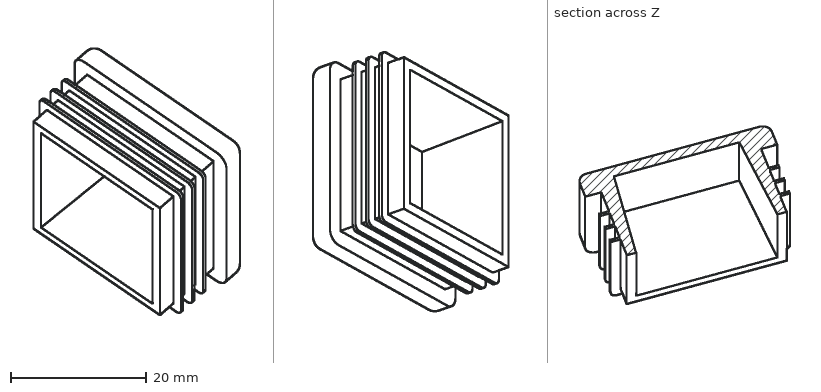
import cadquery as cq

cap_side = 30.0
cap_thickness = 4.0
cap_corner_radius = 2.0
cap_edge_radius = 1.5

total_depth = 16.0
stem_side = 25.0
stem_length = total_depth - cap_thickness

fin_side = 28.0
fin_thickness = 0.5
fin_corner_radius = 1.0
fin_count = 3
fin_pitch = 2.5
first_fin_start = 3.0

mouth_side = 22.0
floor_side = 19.5
cavity_depth = 14.15


def square_slab(side, start, thickness):
    """Square block centred on the Y axis, from Y = start toward +Y."""
    return cq.Workplane("XZ", origin=(0, start, 0)).rect(side, side).extrude(-thickness)


def make_cap():
    cap = square_slab(cap_side, stem_length, cap_thickness)
    cap = cap.edges("|Y").fillet(cap_corner_radius)
    return cap.faces(">Y").edges().fillet(cap_edge_radius)


def make_fin(start):
    return square_slab(fin_side, start, fin_thickness).edges("|Y").fillet(fin_corner_radius)


def make_cavity():
    """Tapered square pocket, narrowing from the mouth to the floor."""
    return (
        cq.Workplane("XZ")
        .rect(mouth_side, mouth_side)
        .workplane(offset=-cavity_depth)
        .rect(floor_side, floor_side)
        .loft(ruled=True)
    )


result = make_cap().union(square_slab(stem_side, 0, stem_length))
for index in range(fin_count):
    result = result.union(make_fin(first_fin_start + index * fin_pitch))
result = result.cut(make_cavity())